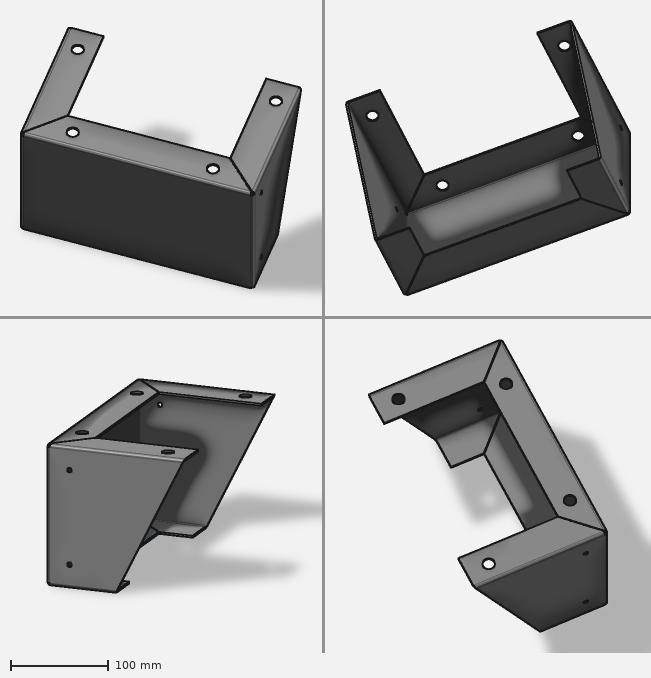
import cadquery as cq
import math

WIDTH = 254.0
DEPTH = 152.5
HEIGHT = 152.5
BOTTOM_DEPTH = 76.2

THICKNESS = 2.3
BEND_RADIUS = 3.3
FLANGE_WIDTH = 38.5
MITRE_GAP = 0.64
CORNER_CLEARANCE = 0.05

MOUNT_DIAMETER = 12.7
MOUNT_EDGE_INSET = 19.3
MOUNT_REAR_INSET = 25.5
MOUNT_SIDE_INSET = 50.8
SIDE_HOLE_DIAMETER = 5.0
SIDE_HOLE_INSET = 25.5

RIGHT = WIDTH / 2
FRONT = -DEPTH / 2
REAR = DEPTH / 2
TOP = HEIGHT / 2
BOTTOM_REAR = FRONT + BOTTOM_DEPTH

FLAT_X = RIGHT - BEND_RADIUS
FLAT_FRONT = FRONT + BEND_RADIUS
FLAT_Z = TOP - BEND_RADIUS


def rounded_bar(plane, width, height, length, corner_radius):
    """Bar with rounded lengthwise edges, centred on the origin."""
    profile = cq.Sketch().rect(width, height).vertices().fillet(corner_radius)
    return cq.Workplane(plane).placeSketch(profile).extrude(length / 2, both=True)


def rounded_tube(plane, width, height, length):
    """Closed sheet tube with all four lengthwise bends, centred on the origin."""
    outer = rounded_bar(plane, width, height, length, BEND_RADIUS)
    inner = rounded_bar(
        plane,
        width - 2 * THICKNESS,
        height - 2 * THICKNESS,
        length,
        BEND_RADIUS - THICKNESS,
    )
    return outer.cut(inner)


def block(x_limits, y_limits, z_limits):
    """Block between pairs of limits along the axes."""
    corner = (x_limits[0], y_limits[0], z_limits[0])
    sizes = [upper - lower for lower, upper in (x_limits, y_limits, z_limits)]
    return cq.Workplane("XY").box(*sizes, centered=False).translate(corner)


def front_wall():
    """Front wall with its top and bottom flanges, between the side bends."""
    tube = rounded_tube("YZ", DEPTH, HEIGHT, 2 * FLAT_X)
    return tube.intersect(block((-RIGHT, RIGHT), (FRONT, FRONT + FLANGE_WIDTH), (-TOP, TOP)))


def vertical_bends():
    """Upright bends that join the front wall to the side walls."""
    tube = rounded_tube("XY", WIDTH, DEPTH, 2 * FLAT_Z)
    return tube.intersect(block((-RIGHT, RIGHT), (FRONT, FLAT_FRONT), (-TOP, TOP)))


def side_walls():
    """Side walls with their flanges, behind the front bends and cut along the sloping rear edge."""
    tube = rounded_tube("XZ", WIDTH, HEIGHT, DEPTH)
    outline = [(FLAT_FRONT, -TOP), (BOTTOM_REAR, -TOP), (REAR, TOP), (FLAT_FRONT, TOP)]
    walls = tube.intersect(cq.Workplane("YZ").polyline(outline).close().extrude(RIGHT, both=True))

    inner_x = RIGHT - FLANGE_WIDTH
    walls = walls.cut(block((-inner_x, inner_x), (FRONT, REAR), (-TOP, TOP)))
    for side in (-1, 1):
        x_limits = sorted((side * inner_x, side * FLAT_X))
        walls = walls.union(block(x_limits, (FLAT_FRONT, REAR), (TOP - THICKNESS, TOP)))
        walls = walls.cut(block(x_limits, (BOTTOM_REAR, REAR), (-TOP, -FLAT_Z)))
    return walls


def corner_reliefs():
    """Diagonal slits between the front and side flanges, and open corners where the bends meet."""
    slit_length = 2 * math.hypot(FLANGE_WIDTH, FLANGE_WIDTH)
    reliefs = cq.Workplane("XY")
    for side in (-1, 1):
        slit = cq.Workplane("XY").box(slit_length, MITRE_GAP, HEIGHT)
        slit = slit.rotate((0, 0, 0), (0, 0, 1), -45 * side)
        slit = slit.translate((side * FLAT_X, FLAT_FRONT, 0))
        slit = slit.intersect(block((-FLAT_X, FLAT_X), (FLAT_FRONT, REAR), (-TOP, TOP)))

        x_limits = sorted((side * (FLAT_X - CORNER_CLEARANCE), side * RIGHT))
        corner = block(x_limits, (FRONT, FLAT_FRONT + CORNER_CLEARANCE), (-TOP, TOP))
        reliefs = reliefs.union(slit).union(corner)

    walls_zone = block((-RIGHT, RIGHT), (FRONT, REAR), (-FLAT_Z, FLAT_Z))
    return reliefs.cut(walls_zone)


def mounting_holes():
    """Holes through the top flanges only."""
    side_x = RIGHT - MOUNT_EDGE_INSET
    front_x = RIGHT - MOUNT_SIDE_INSET
    side_y = REAR - MOUNT_REAR_INSET
    front_y = FRONT + MOUNT_EDGE_INSET
    points = [(side_x, side_y), (-side_x, side_y), (front_x, front_y), (-front_x, front_y)]
    return cq.Workplane("XY").pushPoints(points).circle(MOUNT_DIAMETER / 2).extrude(TOP)


def side_holes():
    """Small holes straight through both side walls."""
    y = FRONT + SIDE_HOLE_INSET
    z = TOP - SIDE_HOLE_INSET
    drill = cq.Workplane("YZ").pushPoints([(y, z), (y, -z)]).circle(SIDE_HOLE_DIAMETER / 2)
    return drill.extrude(RIGHT, both=True)


result = front_wall().union(vertical_bends()).union(side_walls())
result = result.cut(corner_reliefs()).cut(mounting_holes()).cut(side_holes())